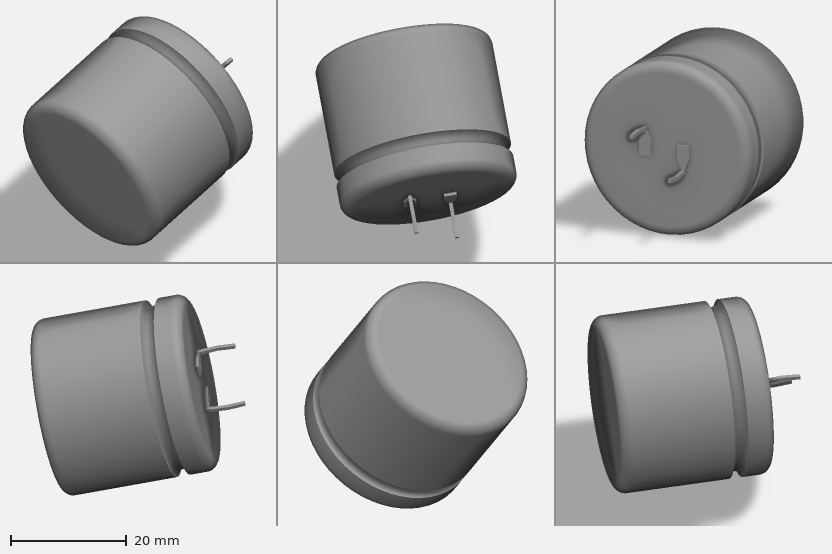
import cadquery as cq

can_diameter = 31.0
can_length = 27.0
edge_round = 1.8
groove_radius = 1.18
groove_position = 21.02

overall_length = 33.8
pin_offset = 3.55
pin_thickness = 0.65
pin_bow = 0.27

foot_width = 2.2
foot_height = 0.55
foot_half_depth = 1.25

can_radius = can_diameter / 2
foot_top = can_length + foot_height


def make_can():
    """Rounded cylinder with a half-round groove around it."""
    can = (
        cq.Workplane("XZ")
        .circle(can_radius)
        .extrude(-can_length)
        .edges("%CIRCLE")
        .fillet(edge_round)
    )
    groove = (
        cq.Workplane("XY")
        .center(can_radius, groove_position)
        .circle(groove_radius)
        .revolve(360, (-can_radius, 0), (-can_radius, 1))
    )
    return can.cut(groove)


def make_pin():
    """Upper pin: a square wire bent slightly outward, standing on the can."""
    inner = pin_offset - pin_thickness / 2
    outer = pin_offset + pin_thickness / 2
    bend = (foot_top + overall_length) / 2
    profile = [
        (can_length, inner),
        (foot_top, inner),
        (bend, inner + pin_bow),
        (overall_length, inner),
        (overall_length, outer),
        (bend, outer + pin_bow),
        (foot_top, outer),
        (can_length, outer),
    ]
    return (
        cq.Workplane("YZ", origin=(pin_offset, 0, 0))
        .polyline(profile)
        .close()
        .extrude(pin_thickness / 2, both=True)
    )


def make_foot():
    """Flat foot whose far end tapers to the width of the upper pin."""
    half_width = foot_width / 2
    half_pin = pin_thickness / 2
    taper_end = pin_offset - half_pin
    outline = [
        (-half_width, -foot_half_depth),
        (half_width, -foot_half_depth),
        (half_width, foot_half_depth),
        (half_pin, taper_end),
        (-half_pin, taper_end),
        (-half_width, foot_half_depth),
    ]
    return (
        cq.Workplane("XZ", origin=(pin_offset, can_length, 0))
        .polyline(outline)
        .close()
        .extrude(-foot_height)
    )


terminal = make_pin().union(make_foot())
result = make_can()
for angle in (0, 180):
    result = result.union(terminal.rotate((0, 0, 0), (0, 1, 0), angle))